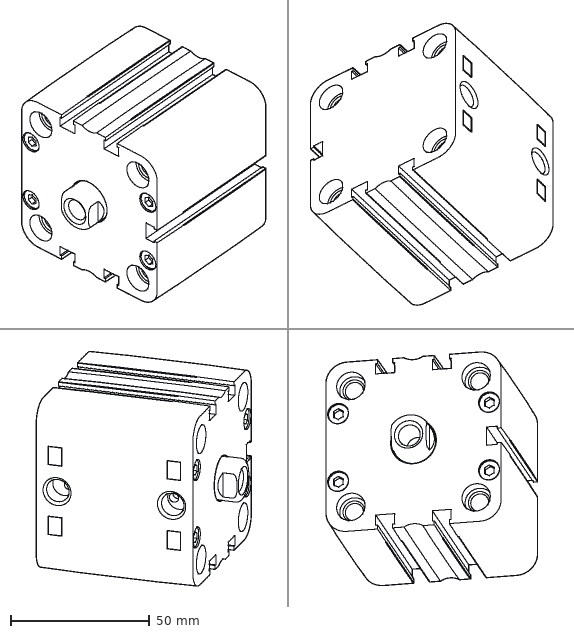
import cadquery as cq
import math


WIDTH = 65.5
HALF_WIDTH = WIDTH / 2
LENGTH = 60.0
CORNER_RADIUS = 8.0
CAP_LENGTH = 14.4
TUBE_LENGTH = LENGTH - 2 * CAP_LENGTH
CAP_DRAFT = 0.22
CAP_TAPER = math.degrees(math.atan(CAP_DRAFT / CAP_LENGTH))

SCOOP_HALF_WIDTH = 3.45
SCOOP_DEPTH = 1.0

SLOT_OFFSET = 10.5
SLOT_OPENING = 5.6
SLOT_WIDTH = 7.0
SLOT_FLOOR = 27.1
SLOT_LIP = 31.0
LIP_STEP_WIDTH = 0.25
LIP_STEP_DEPTH = 0.3

MOUNT_SPACING = 46.5
MOUNT_BORE = 6.65
MOUNT_CHAMFER_DIAMETER = 8.05
MOUNT_COUNTERBORE = 10.5
MOUNT_COUNTERBORE_DEPTH = 5.1

SCREW_X_SPACING = 56.0
SCREW_Z_SPACING = 26.0
SCREW_RECESS_DIAMETER = 7.7
SCREW_HEAD_DIAMETER = 7.5
SCREW_RECESS_DEPTH = 0.6
SCREW_GAP_DEPTH = 0.5
SOCKET_ACROSS_FLATS = 3.6
SOCKET_DEPTH = 2.0

PORT_END_DISTANCE = 8.0
PORT_BORE = 8.57
PORT_MOUTH = 10.5
PORT_DEPTH = 8.0
AIR_HOLE_DIAMETER = 3.5
AIR_HOLE_END_DISTANCE = 9.9
FRONT_AIR_HOLE_DEPTH = 4.0

LABEL_END_DISTANCE = 4.7
LABEL_LENGTH = 5.1
LABEL_HEIGHT = 7.0
LABEL_CENTER_Z = 13.5
LABEL_DEPTH = 0.2

ROD_DIAMETER = 16.0
ROD_RADIUS = ROD_DIAMETER / 2
ROD_PROTRUSION = 8.0
ROD_REAR_WALL = 6.0
ROD_TIP_FILLET = 1.8
ROD_ACROSS_FLATS = 13.0
ROD_FLAT_LENGTH = 5.4
ROD_THREAD_BORE = 8.05
ROD_THREAD_MOUTH = 10.5
ROD_THREAD_DEPTH = 15.0
ROD_DRILL_TIP_DIAMETER = 3.5
ROD_DRILL_TIP_DEPTH = 1.5
WIPER_DIAMETER = 16.5
WIPER_MOUTH = 17.0
WIPER_DEPTH = 1.0


def plane_at(y):
    """Workplane square to the rod at the given Y, drawn in X and Z, facing +Y."""
    return cq.Workplane(cq.Plane(origin=(0, y, 0), xDir=(-1, 0, 0), normal=(0, 1, 0)))


def cylinder(diameter, y_start, length):
    return plane_at(y_start).circle(diameter / 2).extrude(length)


def cone(y_start, start_diameter, y_end, end_diameter):
    """Cone frustum on the rod axis between two Y positions."""
    profile = [(0, y_start), (start_diameter / 2, y_start), (end_diameter / 2, y_end), (0, y_end)]
    return cq.Workplane("XY").polyline(profile).close().revolve(360, (0, 0, 0), (0, 1, 0))


def corner_points(x_spacing, z_spacing):
    return [(sx * x_spacing / 2, 0, sz * z_spacing / 2) for sx in (-1, 1) for sz in (-1, 1)]


def cut_at(body, cutter, places):
    for place in places:
        body = body.cut(cutter.translate(place))
    return body


def body_outline(workplane):
    """Rounded square with a shallow scoop in its top and bottom sides."""
    straight = HALF_WIDTH - CORNER_RADIUS
    diagonal = straight + CORNER_RADIUS * math.sqrt(0.5)
    floor = HALF_WIDTH - SCOOP_DEPTH
    return (
        workplane.moveTo(SCOOP_HALF_WIDTH, HALF_WIDTH)
        .lineTo(straight, HALF_WIDTH)
        .threePointArc((diagonal, diagonal), (HALF_WIDTH, straight))
        .lineTo(HALF_WIDTH, -straight)
        .threePointArc((diagonal, -diagonal), (straight, -HALF_WIDTH))
        .lineTo(SCOOP_HALF_WIDTH, -HALF_WIDTH)
        .threePointArc((0, -floor), (-SCOOP_HALF_WIDTH, -HALF_WIDTH))
        .lineTo(-straight, -HALF_WIDTH)
        .threePointArc((-diagonal, -diagonal), (-HALF_WIDTH, -straight))
        .lineTo(-HALF_WIDTH, straight)
        .threePointArc((-diagonal, diagonal), (-straight, HALF_WIDTH))
        .lineTo(-SCOOP_HALF_WIDTH, HALF_WIDTH)
        .threePointArc((0, floor), (SCOOP_HALF_WIDTH, HALF_WIDTH))
        .close()
    )


def body_block():
    """Straight tube section between two caps that taper slightly toward the ends."""
    tube = body_outline(plane_at(CAP_LENGTH)).extrude(TUBE_LENGTH)
    rear_cap = body_outline(plane_at(LENGTH - CAP_LENGTH)).extrude(CAP_LENGTH, taper=CAP_TAPER)
    front_cap = rear_cap.mirror("XZ", (0, LENGTH / 2, 0))
    return tube.union(rear_cap).union(front_cap)


def slot_cutter():
    """Full-length T-slot in the top side, centred on X = 0, with a fine step on its lips."""
    undercut = cq.Workplane("XY").box(
        SLOT_WIDTH, LENGTH, SLOT_LIP - SLOT_FLOOR, centered=(True, False, False)
    )
    opening = cq.Workplane("XY").box(
        SLOT_OPENING, LENGTH, HALF_WIDTH - SLOT_FLOOR, centered=(True, False, False)
    )
    lip_step = cq.Workplane("XY").box(
        SLOT_OPENING + 2 * LIP_STEP_WIDTH,
        LENGTH - CAP_LENGTH,
        LIP_STEP_DEPTH,
        centered=(True, False, False),
    )
    lip_step = lip_step.translate((0, CAP_LENGTH, HALF_WIDTH - LIP_STEP_DEPTH - SLOT_FLOOR))
    return undercut.union(opening).union(lip_step).translate((0, 0, SLOT_FLOOR))


def cut_slots(body):
    slot = slot_cutter()
    for offset in (-SLOT_OFFSET, SLOT_OFFSET):
        top_slot = slot.translate((offset, 0, 0))
        body = body.cut(top_slot).cut(top_slot.mirror("XY"))
    return body.cut(slot.rotate((0, 0, 0), (0, 1, 0), 90))


def mount_hole_cutter():
    """Through bore, counterbored from both ends, with a chamfer at each counterbore floor."""
    chamfer = (MOUNT_CHAMFER_DIAMETER - MOUNT_BORE) / 2
    end_cut = cylinder(MOUNT_COUNTERBORE, 0, MOUNT_COUNTERBORE_DEPTH).union(
        cone(
            MOUNT_COUNTERBORE_DEPTH,
            MOUNT_CHAMFER_DIAMETER,
            MOUNT_COUNTERBORE_DEPTH + chamfer,
            MOUNT_BORE,
        )
    )
    bore = cylinder(MOUNT_BORE, 0, LENGTH)
    return bore.union(end_cut).union(end_cut.mirror("XZ", (0, LENGTH / 2, 0)))


def screw_cutter():
    """Recess over a sunk screw head, the thin gap around the head and its hexagon socket."""
    head = cylinder(SCREW_HEAD_DIAMETER, SCREW_RECESS_DEPTH, SCREW_GAP_DEPTH)
    recess = cylinder(SCREW_RECESS_DIAMETER, 0, SCREW_RECESS_DEPTH + SCREW_GAP_DEPTH).cut(head)
    across_corners = SOCKET_ACROSS_FLATS / math.cos(math.pi / 6)
    socket = (
        plane_at(0)
        .transformed(rotate=(0, 0, 90))
        .polygon(6, across_corners)
        .extrude(SCREW_RECESS_DEPTH + SOCKET_DEPTH)
    )
    return recess.union(socket)


def port_cutter(port_y, air_hole_y, air_hole_end_x):
    """Chamfered port in the -X side with a small air hole through its floor."""
    port_floor_x = -HALF_WIDTH + PORT_DEPTH
    mouth_depth = (PORT_MOUTH - PORT_BORE) / 2 + CAP_DRAFT
    mouth_radius = PORT_BORE / 2 + mouth_depth
    profile = [
        (-HALF_WIDTH, 0),
        (-HALF_WIDTH, mouth_radius),
        (-HALF_WIDTH + mouth_depth, PORT_BORE / 2),
        (port_floor_x, PORT_BORE / 2),
        (port_floor_x, 0),
    ]
    port = cq.Workplane("XY").polyline(profile).close().revolve(360, (0, 0, 0), (1, 0, 0))
    air_hole = (
        cq.Workplane("YZ", origin=(port_floor_x, air_hole_y, 0))
        .circle(AIR_HOLE_DIAMETER / 2)
        .extrude(air_hole_end_x - port_floor_x)
    )
    return port.translate((0, port_y, 0)).union(air_hole)


def cut_ports(body):
    """The front air hole is blind; the rear one opens onto the rod."""
    front_end_x = -HALF_WIDTH + PORT_DEPTH + FRONT_AIR_HOLE_DEPTH
    front_port = port_cutter(PORT_END_DISTANCE, AIR_HOLE_END_DISTANCE, front_end_x)
    rear_port = port_cutter(LENGTH - PORT_END_DISTANCE, LENGTH - AIR_HOLE_END_DISTANCE, 0)
    return body.cut(front_port).cut(rear_port)


def cut_labels(body):
    center_distance = LABEL_END_DISTANCE + LABEL_LENGTH / 2
    depth = LABEL_DEPTH + CAP_DRAFT
    label = cq.Workplane("XY").box(depth, LABEL_LENGTH, LABEL_HEIGHT, centered=(False, True, True))
    places = [
        (-HALF_WIDTH, y, z)
        for y in (center_distance, LENGTH - center_distance)
        for z in (-LABEL_CENTER_Z, LABEL_CENTER_Z)
    ]
    return cut_at(body, label, places)


def make_housing():
    body = cut_slots(body_block())
    body = cut_at(body, mount_hole_cutter(), corner_points(MOUNT_SPACING, MOUNT_SPACING))
    body = cut_at(body, screw_cutter(), corner_points(SCREW_X_SPACING, SCREW_Z_SPACING))
    body = cut_labels(cut_ports(body))
    rod_bore = cylinder(ROD_DIAMETER, 0, LENGTH - ROD_REAR_WALL)
    wiper_recess = cylinder(WIPER_DIAMETER, 0, WIPER_DEPTH)
    mouth_depth = (WIPER_MOUTH - WIPER_DIAMETER) / 2
    wiper_mouth = cone(0, WIPER_MOUTH, mouth_depth, WIPER_DIAMETER)
    return body.cut(rod_bore).cut(wiper_recess).cut(wiper_mouth)


def wrench_flat_cutter():
    """Removes the +X side of the rod tip, with a 45 degree run-out."""
    half_flats = ROD_ACROSS_FLATS / 2
    flat_end = ROD_FLAT_LENGTH - ROD_PROTRUSION
    run_out = ROD_RADIUS - half_flats
    profile = [
        (half_flats, -ROD_PROTRUSION),
        (half_flats, flat_end),
        (ROD_RADIUS, flat_end + run_out),
        (ROD_RADIUS, -ROD_PROTRUSION),
    ]
    return cq.Workplane("XY").polyline(profile).close().extrude(ROD_RADIUS, both=True)


def thread_hole_cutter():
    """Chamfered bore in the rod tip ending in a blunt drill point."""
    chamfer_end = -ROD_PROTRUSION + (ROD_THREAD_MOUTH - ROD_THREAD_BORE) / 2
    bore_end = -ROD_PROTRUSION + ROD_THREAD_DEPTH
    mouth = cone(-ROD_PROTRUSION, ROD_THREAD_MOUTH, chamfer_end, ROD_THREAD_BORE)
    bore = cylinder(ROD_THREAD_BORE, -ROD_PROTRUSION, ROD_THREAD_DEPTH)
    drill_tip = cone(
        bore_end, ROD_THREAD_BORE, bore_end + ROD_DRILL_TIP_DEPTH, ROD_DRILL_TIP_DIAMETER
    )
    return mouth.union(bore).union(drill_tip)


def make_rod():
    rod_length = ROD_PROTRUSION + LENGTH - ROD_REAR_WALL
    rod = cylinder(ROD_DIAMETER, -ROD_PROTRUSION, rod_length).faces("<Y").edges().fillet(ROD_TIP_FILLET)
    flat = wrench_flat_cutter()
    return rod.cut(flat).cut(flat.mirror("YZ")).cut(thread_hole_cutter())


housing = make_housing()
rod = make_rod()

result = cq.Compound.makeCompound([housing.val(), rod.val()])